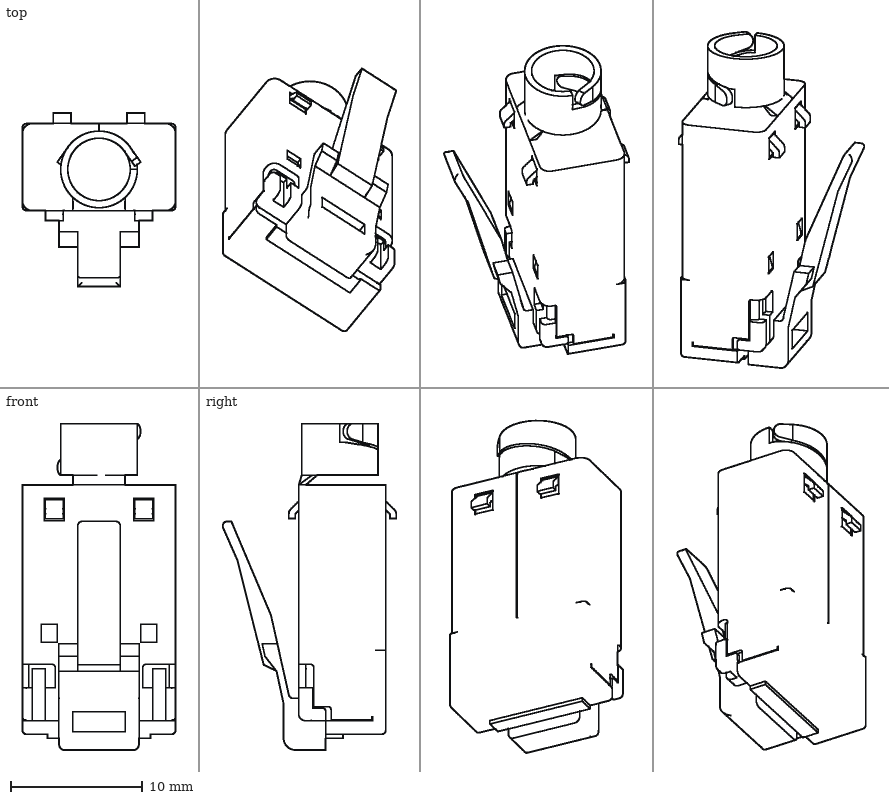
import cadquery as cq
import math

BODY_X = 11.68
BODY_Y = 6.64
BODY_TOP = 20.22
HALF_X = BODY_X / 2
HALF_Y = BODY_Y / 2
SHELL_CORNER_R = 0.77
EDGE_R = 0.33
FRONT_EDGE_R = 0.5
SHELL_THICK = 0.47

REAR_BOTTOM = 1.2
REAR_TOP = 7.6
REAR_FRONT_Y = -1.27
FRONT_BOTTOM = 2.25
HOOK_TOP = 4.75

KEEL_HALF_X = 3.94
KEEL_BOTTOM = 0.9
KEEL_BACK_Y = 0.07

NOTCH_TOP = 6.54
NOTCH_INNER_X = 3.34
NOTCH_BACK_Y = -2.17
NOTCH_DEPTH_Y = 0.55
NOTCH_CORNER_R = 0.25
CORE_CORNER_R = 0.3
CHANNEL_INNER_X = 4.08
CHANNEL_OUTER_X = 5.07
CHANNEL_TOP = 6.22
CHANNEL_DEPTH = 0.95

GAP_DEPTH = 0.3
GAP_LINE = 0.07
GAP_STEP_Z = 3.19
GAP_STEP_HEIGHT = 0.12
GAP_WIDE_Y = -0.86
GAP_CORNER_R = 0.2
GAP_END_HEIGHT = 0.3
GAP_REAR_Y = 2.33

TAB_WIDTH = 1.36
TAB_FRONT_X = 3.41
TAB_BACK_X = 2.81
TAB_FRONT_REACH = 0.76
TAB_BACK_REACH = 0.8
TAB_THICK = 0.5
TAB_BEND_R = 0.4
TAB_START_Z = 18.97
TAB_END_Z = 17.65
TAB_LIP_Z = 18.0
TAB_ROOT_DEPTH = 0.12
WINDOW_WIDTH = 1.54
WINDOW_TOP = 19.2
WINDOW_BOTTOM = 17.5
LANCE_X = 3.79
LANCE_WIDTH = 1.25
LANCE_TOP = 9.6
LANCE_SILL = 8.46
LANCE_BOTTOM = 8.24
LANCE_DEPTH = 0.4
LANCE_LIP = 0.1

BASE_HALF_X = 3.05
BASE_FRONT_Y = -4.49
BASE_TOP = 3.96
BASE_FRONT_R = 0.95
BASE_SIDE_R = 0.45
BEND_Z = 3.57
LEVER_ROOT_Y = -4.01
LEVER_TOP = 17.44
WING_TOP = 8.1
LEVER_HALF_X = 1.62
ROOT_R = 0.3
LEVER_TIP_R = 0.36
POCKET_HALF_X = 2.0
POCKET_BOTTOM = 1.42
POCKET_TOP = 2.92
POCKET_DEPTH = 2.5

RING_TOP = 24.89
RING_BOTTOM = 20.95
RING_R = 2.92
RING_WALL = 0.54
RING_Y = -0.18
RING_BORE_R = RING_R - RING_WALL
RING_MID = (RING_TOP + RING_BOTTOM) / 2
NECK_HALF_X = 2.0
NECK_THICK = 0.56
SLIT_WIDTH = 0.2
SLIT_RISE = 1.42
TONGUE_ANGLE = 35.0
TONGUE_LENGTH = 1.37
TONGUE_OVERLAP = 0.08
TONGUE_TIP_R = 0.45
TONGUE_TIP_RISE = 0.25
OVERCUT = 0.5


def block(x0, x1, y0, y1, z0, z1):
    """Axis-aligned box between two corners."""
    return cq.Workplane("XY").box(x1 - x0, y1 - y0, z1 - z0, centered=False).translate((x0, y0, z0))


def both_sides(solid):
    """A solid together with its mirror image across X = 0."""
    return solid.union(solid.mirror("YZ"))


def prism_along_x(points, half_width):
    """Extrude a closed (Y, Z) outline symmetrically about X = 0."""
    return cq.Workplane("YZ").polyline(points).close().extrude(half_width, both=True)


def nearest(x, y, z):
    """Selector for the edge whose middle is closest to a point."""
    return cq.selectors.NearestToPointSelector((x, y, z))


def body():
    """Shell block over the stepped lower housing, with a back seam and a pad underneath."""
    shell = block(-HALF_X, HALF_X, -HALF_Y, HALF_Y, HOOK_TOP, BODY_TOP)
    shell = shell.edges("|Z").fillet(SHELL_CORNER_R)
    rear = block(-HALF_X, HALF_X, REAR_FRONT_Y, HALF_Y, REAR_BOTTOM, REAR_TOP)
    rear = rear.edges("(>Y and |Z) or (<Z and (>Y or >X or <X))").fillet(EDGE_R)
    front = block(-HALF_X, HALF_X, -HALF_Y, 0, FRONT_BOTTOM, HOOK_TOP)
    front = front.edges("<Y and <Z").fillet(FRONT_EDGE_R)
    front = front.edges("(<Y and |Z) or (<Z and (<X or >X))").fillet(EDGE_R)
    keel = block(-KEEL_HALF_X, KEEL_HALF_X, REAR_FRONT_Y, KEEL_BACK_Y, KEEL_BOTTOM, HOOK_TOP)
    seam = block(-GAP_LINE / 2, GAP_LINE / 2, HALF_Y - SHELL_THICK, HALF_Y + OVERCUT, REAR_TOP, BODY_TOP)
    return shell.cut(seam).union(rear).union(front).union(keel)


def corner_notch():
    """Shell removed around a front corner, leaving the rounded core behind it."""
    opening = block(-HALF_X - OVERCUT, -NOTCH_INNER_X, -HALF_Y - OVERCUT, NOTCH_BACK_Y, HOOK_TOP, NOTCH_TOP)
    opening = opening.edges("(>X or >Y) and >Z").fillet(NOTCH_CORNER_R)
    core = block(-HALF_X + SHELL_THICK, 0, -HALF_Y + NOTCH_DEPTH_Y, HALF_Y, HOOK_TOP, NOTCH_TOP)
    core = core.edges("<X and <Y and |Z").fillet(CORE_CORNER_R)
    return opening.cut(core)


def channel():
    """Upright groove in the front face, open at the bottom."""
    return block(
        -CHANNEL_OUTER_X, -CHANNEL_INNER_X,
        -HALF_Y - OVERCUT, -HALF_Y + CHANNEL_DEPTH,
        FRONT_BOTTOM, CHANNEL_TOP,
    )


def side_gap():
    """Stepped parting gap between the side plate and the lower housing."""
    x0 = -HALF_X - OVERCUT
    x1 = -HALF_X + GAP_DEPTH
    step_top = GAP_STEP_Z + GAP_STEP_HEIGHT
    gap = prism_along_x([
        (NOTCH_BACK_Y - GAP_LINE, HOOK_TOP),
        (NOTCH_BACK_Y, HOOK_TOP),
        (NOTCH_BACK_Y, step_top),
        (GAP_WIDE_Y, step_top),
        (GAP_WIDE_Y, FRONT_BOTTOM),
        (REAR_FRONT_Y, FRONT_BOTTOM),
        (REAR_FRONT_Y, GAP_STEP_Z),
        (NOTCH_BACK_Y - GAP_LINE, GAP_STEP_Z),
    ], (x1 - x0) / 2).translate(((x0 + x1) / 2, 0, 0))
    for corner in ((GAP_WIDE_Y, step_top), (REAR_FRONT_Y, GAP_STEP_Z)):
        gap = gap.edges(nearest((x0 + x1) / 2, *corner)).fillet(GAP_CORNER_R)
    line = block(x0, x1, GAP_WIDE_Y, GAP_REAR_Y, FRONT_BOTTOM, FRONT_BOTTOM + GAP_LINE)
    end = block(x0, x1, GAP_REAR_Y - GAP_LINE, GAP_REAR_Y, FRONT_BOTTOM, FRONT_BOTTOM + GAP_END_HEIGHT)
    return gap.union(line).union(end)


def tab_window(x):
    """Shallow recess around a spring tab."""
    half = WINDOW_WIDTH / 2
    return block(
        x - half, x + half,
        -HALF_Y - OVERCUT, -HALF_Y + TAB_ROOT_DEPTH,
        WINDOW_BOTTOM, WINDOW_TOP,
    )


def spring_tab(x, reach):
    """Bent tab leaning out of the front face and ending in a short upright lip."""
    outer_y = -HALF_Y - reach
    inner_y = outer_y + TAB_THICK
    root_y = -HALF_Y + TAB_ROOT_DEPTH
    diagonal = TAB_THICK * math.sqrt(2)
    outline = [
        (root_y, TAB_START_Z + TAB_ROOT_DEPTH),
        (outer_y, TAB_START_Z - reach),
        (outer_y, TAB_END_Z),
        (inner_y, TAB_END_Z),
        (inner_y, TAB_LIP_Z),
        (root_y, TAB_START_Z + TAB_ROOT_DEPTH - diagonal),
    ]
    tab = prism_along_x(outline, TAB_WIDTH / 2)
    bend_edge = tab.edges(nearest(0, outer_y, TAB_START_Z - reach))
    return bend_edge.fillet(TAB_BEND_R).translate((x, 0, 0))


def lance():
    """Small window with a floor that slopes out towards its sill."""
    outline = [
        (-HALF_Y, LANCE_TOP),
        (-HALF_Y + LANCE_DEPTH, LANCE_TOP),
        (-HALF_Y + LANCE_LIP, LANCE_SILL),
        (-HALF_Y + LANCE_LIP, LANCE_BOTTOM),
        (-HALF_Y, LANCE_BOTTOM),
    ]
    return prism_along_x(outline, LANCE_WIDTH / 2).translate((-LANCE_X, 0, 0))


def latch():
    """Latch base with a sloping spring, side wings and a longer centre lever."""
    bend = (BASE_FRONT_Y, BEND_Z)
    inner_root = (LEVER_ROOT_Y, BASE_TOP)
    neck_front = (-5.02, 6.03)
    inner_bend = (-5.42, 10.27)
    slope = (inner_bend[0] - inner_root[0]) / (inner_bend[1] - inner_root[1])
    wing_back_y = inner_root[0] + slope * (WING_TOP - BASE_TOP)

    base_outline = [
        (REAR_FRONT_Y, 0),
        (BASE_FRONT_Y, 0),
        bend,
        inner_root,
        (REAR_FRONT_Y, BASE_TOP),
    ]
    base = prism_along_x(base_outline, BASE_HALF_X).edges("<Z and <Y").fillet(BASE_FRONT_R)
    envelope = block(-BASE_HALF_X, BASE_HALF_X, BASE_FRONT_Y, REAR_FRONT_Y, 0, BASE_TOP)
    base = base.intersect(envelope.edges("<Z and |Y").fillet(BASE_SIDE_R))

    wing_outline = [
        bend,
        neck_front,
        (-5.89, 7.15),
        (-6.1, WING_TOP),
        (wing_back_y, WING_TOP),
        inner_root,
    ]
    wings = prism_along_x(wing_outline, BASE_HALF_X)
    lever_outline = [
        neck_front,
        (-6.0, 6.5),
        (-8.0, 14.47),
        (-9.31, LEVER_TOP),
        (-8.45, LEVER_TOP),
        inner_bend,
        inner_root,
    ]
    lever = prism_along_x(lever_outline, LEVER_HALF_X)
    lever = lever.edges(">Z and (<Y or <X or >X)").fillet(LEVER_TIP_R)

    spring = base.union(wings).union(lever).clean()
    return spring.edges(nearest(0, *inner_root)).fillet(ROOT_R)


def latch_pocket():
    """Rectangular blind pocket in the front of the latch base."""
    return block(
        -POCKET_HALF_X, POCKET_HALF_X,
        BASE_FRONT_Y, BASE_FRONT_Y + POCKET_DEPTH,
        POCKET_BOTTOM, POCKET_TOP,
    )


def on_ring(radius, degrees, z):
    """Point on a circle about the ring axis."""
    angle = math.radians(degrees)
    return (radius * math.cos(angle), RING_Y + radius * math.sin(angle), z)


def slit():
    """Helical slit rising over the back half turn from -X to +X."""
    helix = cq.Wire.makeHelix(2 * SLIT_RISE, SLIT_RISE, RING_R)
    mid_r = RING_R - RING_WALL / 2
    cutter = (
        cq.Workplane("XZ").center(mid_r, 0).rect(RING_WALL * 2, SLIT_WIDTH)
        .sweep(cq.Workplane(obj=helix), isFrenet=True)
    )
    cutter = cutter.mirror("YZ")
    return cutter.translate((0, RING_Y, RING_MID - SLIT_RISE / 2))


def tongue_root_z():
    """Upper edge of the slit where the upper tongue leaves the ring."""
    return RING_MID + SLIT_RISE * (90 - TONGUE_ANGLE) / 180 + SLIT_WIDTH / 2


def tongue_clearance():
    """Sector of wall missing above the slit, from the tongue root to the +X seam."""
    far = 2 * RING_R
    bottom = tongue_root_z()
    return (
        cq.Workplane("XY")
        .polyline([(0, 0), (far, 0), (far, far * math.tan(math.radians(TONGUE_ANGLE)))]).close()
        .extrude(RING_TOP - bottom).translate((0, RING_Y, bottom))
    )


def tongue():
    """Straight strip leaving the ring tangentially on the upper +X side, with a rounded tip."""
    angle = math.radians(TONGUE_ANGLE)
    plane = cq.Plane(
        origin=on_ring(RING_R, TONGUE_ANGLE, 0),
        xDir=(math.sin(angle), -math.cos(angle), 0),
        normal=(-math.cos(angle), -math.sin(angle), 0),
    )
    root_z = tongue_root_z()
    tip_z = root_z + TONGUE_TIP_RISE
    straight = TONGUE_LENGTH - TONGUE_TIP_R
    return (
        cq.Workplane(plane)
        .moveTo(-TONGUE_OVERLAP, root_z)
        .lineTo(straight, tip_z)
        .threePointArc((TONGUE_LENGTH, (tip_z + RING_TOP) / 2), (straight, RING_TOP))
        .lineTo(-TONGUE_OVERLAP, RING_TOP)
        .close()
        .extrude(RING_WALL)
    )


def ring():
    """Split ferrule; its two tongues are half-turn copies about the Y direction."""
    wall = (
        cq.Workplane("XY").circle(RING_R).circle(RING_BORE_R)
        .extrude(RING_TOP - RING_BOTTOM).translate((0, RING_Y, RING_BOTTOM))
    )
    wall = wall.cut(slit())
    axis_start = (0, RING_Y, RING_MID)
    axis_end = (0, RING_Y + 1, RING_MID)
    for turn in (0, 180):
        wall = wall.cut(tongue_clearance().rotate(axis_start, axis_end, turn))
    for turn in (0, 180):
        wall = wall.union(tongue().rotate(axis_start, axis_end, turn))
    return wall


def neck():
    """Tongue blending from the shell's front wall into the ring."""
    angle = math.degrees(math.asin(NECK_HALF_X / RING_R))
    rear_y = -HALF_Y + NECK_THICK
    foot = cq.Wire.makePolygon([
        cq.Vector(-NECK_HALF_X, -HALF_Y, BODY_TOP), cq.Vector(NECK_HALF_X, -HALF_Y, BODY_TOP),
        cq.Vector(NECK_HALF_X, rear_y, BODY_TOP), cq.Vector(-NECK_HALF_X, rear_y, BODY_TOP),
    ], close=True)
    angles = (-90 - angle, -90, -90 + angle)
    outer = [cq.Vector(*on_ring(RING_R, a, RING_BOTTOM)) for a in angles]
    inner = [cq.Vector(*on_ring(RING_BORE_R, a, RING_BOTTOM)) for a in angles]
    head = cq.Wire.assembleEdges([
        cq.Edge.makeThreePointArc(*outer),
        cq.Edge.makeLine(outer[-1], inner[-1]),
        cq.Edge.makeThreePointArc(*reversed(inner)),
        cq.Edge.makeLine(inner[0], outer[0]),
    ])
    return cq.Workplane(obj=cq.Solid.makeLoft([foot, head], True))


part = body()
for cutter in (corner_notch(), channel(), side_gap(), lance(), tab_window(-TAB_FRONT_X)):
    part = part.cut(both_sides(cutter))
part = part.cut(both_sides(tab_window(-TAB_BACK_X)).mirror("XZ"))
part = part.union(both_sides(spring_tab(-TAB_FRONT_X, TAB_FRONT_REACH)))
part = part.union(both_sides(spring_tab(-TAB_BACK_X, TAB_BACK_REACH)).mirror("XZ"))
part = part.union(latch()).cut(latch_pocket())
result = part.union(neck()).union(ring())